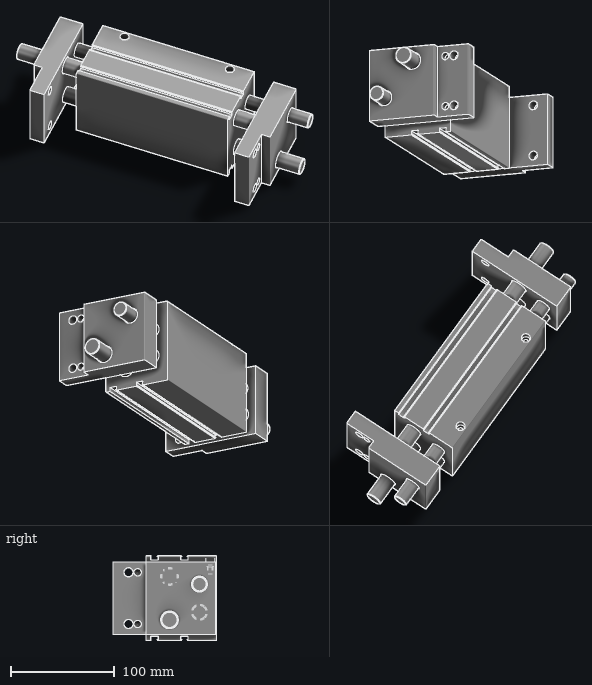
import cadquery as cq


TOTAL_LENGTH = 295.0
TOTAL_DEPTH = 100.0

HOUSING_LENGTH = 157.8
HOUSING_DEPTH = 68.0
HOUSING_HEIGHT = 82.0
HOUSING_EDGE_RADIUS = 1.0

SLOT_WIDTH = 6.8
SLOT_DEPTH = 4.0
BACK_SLOT_Y = -31.0
FRONT_SLOT_Y = -60.0
LIP_SIZE = 1.0

PORTS = ((-54.0, -6.0), (56.0, -6.5))
PORT_DIAMETER = 8.5
PORT_DEPTH = 8.8
PORT_DRILL_DIAMETER = 4.5
PORT_DRILL_DEPTH = 17.7

JAW_GAP = 20.5
JAW_THICKNESS = 24.0
JAW_HEIGHT = 70.2
JAW_BACK_Y = -1.0
JAW_EDGE_RADIUS = 1.0
FINGER_THICKNESS = 15.0

FINGER_HOLE_SPACING = 50.0
BOLT_HOLE_DIAMETER = 8.5
BOLT_HOLE_Y = -85.0
PIN_HOLE_DIAMETER = 7.0
PIN_HOLE_Y = -76.0
PIN_HOLE_DEPTH = 8.8

THICK_DIAMETER = 16.0
THICK_Y = -45.5
THICK_Z = 21.0
THIN_DIAMETER = 14.2
THIN_Y = -16.5
THIN_Z = 13.5
THIN_SETBACK = 3.2
ROD_TIP_CHAMFER = 0.5
ROD_CLEARANCE = 0.5

HALF_LENGTH = TOTAL_LENGTH / 2
HALF_HOUSING = HOUSING_LENGTH / 2
HALF_HEIGHT = HOUSING_HEIGHT / 2
JAW_INNER_X = HALF_HOUSING + JAW_GAP
JAW_OUTER_X = JAW_INNER_X + JAW_THICKNESS
FINGER_OUTER_X = JAW_INNER_X + FINGER_THICKNESS


def rod(start_x, end_x, y, z, diameter):
    """A plain cylinder along X."""
    end = cq.Workplane("YZ", origin=(start_x, y, z))
    return end.circle(diameter / 2).extrude(end_x - start_x)


def slot_cutter(y, lip_on_front):
    """A slot along the whole top of the housing, narrowed at its mouth by small lips.

    The back wall always has a lip; the front wall only if lip_on_front is set.
    A lip has a 45 degree slope above and a flat underside.
    """
    back_y = y + SLOT_WIDTH / 2
    front_y = y - SLOT_WIDTH / 2
    floor_z = HALF_HEIGHT - SLOT_DEPTH
    lip_under_z = HALF_HEIGHT - LIP_SIZE
    points = [
        (back_y, HALF_HEIGHT),
        (back_y - LIP_SIZE, lip_under_z),
        (back_y, lip_under_z),
        (back_y, floor_z),
        (front_y, floor_z),
    ]
    if lip_on_front:
        points += [(front_y, lip_under_z), (front_y + LIP_SIZE, lip_under_z)]
    points.append((front_y, HALF_HEIGHT))
    return cq.Workplane("YZ").polyline(points).close().extrude(HALF_HOUSING, both=True)


def port_cutter(x, y):
    """A wide bore whose 90 degree conical bottom leads into a narrow flat-bottomed bore."""
    port_radius = PORT_DIAMETER / 2
    drill_radius = PORT_DRILL_DIAMETER / 2
    cone_depth = PORT_DEPTH + port_radius - drill_radius
    return (
        cq.Workplane("XZ", origin=(x, y, HALF_HEIGHT))
        .lineTo(port_radius, 0)
        .lineTo(port_radius, -PORT_DEPTH)
        .lineTo(drill_radius, -cone_depth)
        .lineTo(drill_radius, -PORT_DRILL_DEPTH)
        .lineTo(0, -PORT_DRILL_DEPTH)
        .close()
        .revolve(360, (0, 0), (0, 1))
    )


def pin_hole_cutter(z):
    """A blind hole into the outer face of the finger, ending in a 90 degree cone."""
    radius = PIN_HOLE_DIAMETER / 2
    return (
        cq.Workplane("XZ", origin=(FINGER_OUTER_X, PIN_HOLE_Y, z))
        .lineTo(0, radius)
        .lineTo(-PIN_HOLE_DEPTH, radius)
        .lineTo(-PIN_HOLE_DEPTH - radius, 0)
        .close()
        .revolve(360, (0, 0), (1, 0))
    )


def make_housing():
    """The slotted body, bored through for all four rods."""
    body = (
        cq.Workplane("XY")
        .box(HOUSING_LENGTH, HOUSING_DEPTH, HOUSING_HEIGHT)
        .translate((0, -HOUSING_DEPTH / 2, 0))
        .edges("|X")
        .fillet(HOUSING_EDGE_RADIUS)
    )
    for slot in (slot_cutter(BACK_SLOT_Y, True), slot_cutter(FRONT_SLOT_Y, False)):
        body = body.cut(slot).cut(slot.mirror("XY"))
    for x, y in PORTS:
        body = body.cut(port_cutter(x, y))
    for side in (-1, 1):
        body = body.cut(rod(-HALF_HOUSING, HALF_HOUSING, THICK_Y, side * THICK_Z, THICK_DIAMETER))
        body = body.cut(rod(-HALF_HOUSING, HALF_HOUSING, THIN_Y, side * THIN_Z, THIN_DIAMETER))
    return body


def make_jaw():
    """The right jaw, whose rods run to the left through the housing and the other jaw."""
    jaw = (
        cq.Workplane("XY")
        .moveTo(JAW_INNER_X, JAW_BACK_Y)
        .lineTo(JAW_OUTER_X, JAW_BACK_Y)
        .lineTo(JAW_OUTER_X, -HOUSING_DEPTH)
        .lineTo(FINGER_OUTER_X, -HOUSING_DEPTH)
        .lineTo(FINGER_OUTER_X, -TOTAL_DEPTH)
        .lineTo(JAW_INNER_X, -TOTAL_DEPTH)
        .close()
        .extrude(JAW_HEIGHT / 2, both=True)
    )
    for x, y in (
        (JAW_OUTER_X, JAW_BACK_Y),
        (JAW_OUTER_X, -HOUSING_DEPTH),
        (FINGER_OUTER_X, -TOTAL_DEPTH),
    ):
        jaw = jaw.edges(cq.selectors.NearestToPointSelector((x, y, 0))).fillet(JAW_EDGE_RADIUS)

    for z in (-FINGER_HOLE_SPACING / 2, FINGER_HOLE_SPACING / 2):
        jaw = jaw.cut(rod(JAW_INNER_X, FINGER_OUTER_X, BOLT_HOLE_Y, z, BOLT_HOLE_DIAMETER))
        jaw = jaw.cut(pin_hole_cutter(z))

    for y, z, diameter, setback in (
        (THICK_Y, THICK_Z, THICK_DIAMETER, 0),
        (THIN_Y, -THIN_Z, THIN_DIAMETER, THIN_SETBACK),
    ):
        jaw = jaw.cut(rod(JAW_INNER_X, JAW_OUTER_X, y, -z, diameter + 2 * ROD_CLEARANCE))
        shaft = rod(setback - HALF_LENGTH, JAW_INNER_X, y, z, diameter)
        jaw = jaw.union(shaft.faces("<X").chamfer(ROD_TIP_CHAMFER))
    return jaw


housing = make_housing()
right_jaw = make_jaw()
left_jaw = right_jaw.rotate((0, 0, 0), (0, 1, 0), 180)

result = cq.Compound.makeCompound([housing.val(), right_jaw.val(), left_jaw.val()])